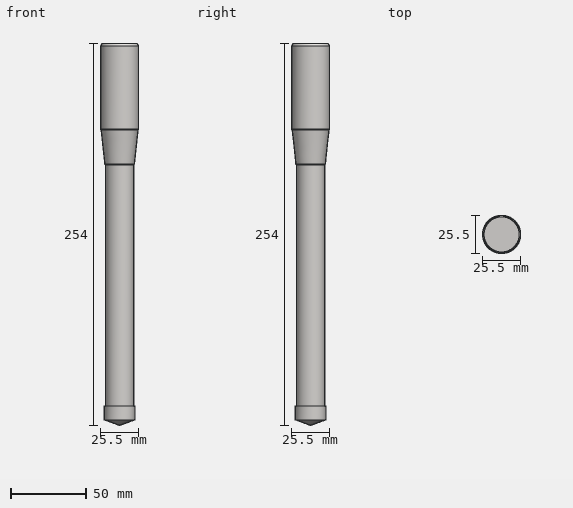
import cadquery as cq

total_length = 254.0
point_height = 3.8
head_top = 13.0
neck_bottom = 173.2
neck_top = 196.3
step_height = 0.8
chamfer_height = 1.8

shank_diameter = 25.5
shank_end_diameter = 23.4
neck_top_diameter = 24.6
neck_bottom_diameter = 19.8
rod_diameter = 19.0
head_diameter = 20.5


def revolve_profile(points):
    """Revolve a closed (radius, height) outline around the Z axis."""
    return cq.Workplane("XZ").polyline(points).close().revolve(360, (0, 0), (0, 1))


def make_shank():
    """Rod, tapered neck and chamfered gripping cylinder, turned in one piece."""
    shank_radius = shank_diameter / 2
    rod_radius = rod_diameter / 2
    return revolve_profile([
        (0, head_top),
        (rod_radius, head_top),
        (rod_radius, neck_bottom),
        (neck_bottom_diameter / 2, neck_bottom + step_height),
        (neck_top_diameter / 2, neck_top),
        (shank_radius, neck_top + step_height),
        (shank_radius, total_length - chamfer_height),
        (shank_end_diameter / 2, total_length),
        (0, total_length),
    ])


def make_cutting_head():
    """Short cylinder with a conical drill point, seated on the rod's end."""
    head_radius = head_diameter / 2
    return revolve_profile([
        (0, 0),
        (head_radius, point_height),
        (head_radius, head_top),
        (0, head_top),
    ])


shank = make_shank()
cutting_head = make_cutting_head()
result = cq.Compound.makeCompound([shank.val(), cutting_head.val()])